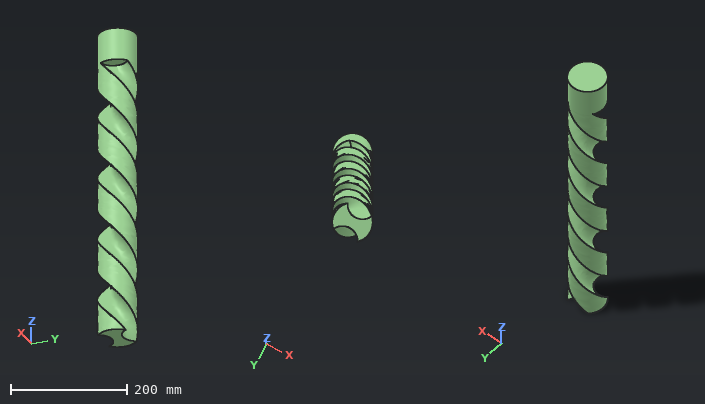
import cadquery as cq
import math

total_length = 578.5
diameter = 70.0
shank_length = 60.0
flute_half_angle = 42.6
web_thickness = 21.0
twist_angle = -800.0

radius = diameter / 2
fluted_length = total_length - shank_length
lip_x = radius * math.sin(math.radians(flute_half_angle))
lip_y = radius * math.cos(math.radians(flute_half_angle))
web_y = web_thickness / 2


def fluted_section():
    """Round section with a concave flute on the +Y and -Y sides."""
    return (
        cq.Workplane("XY")
        .moveTo(lip_x, -lip_y)
        .threePointArc((radius, 0), (lip_x, lip_y))
        .threePointArc((0, web_y), (-lip_x, lip_y))
        .threePointArc((-radius, 0), (-lip_x, -lip_y))
        .threePointArc((0, -web_y), (lip_x, -lip_y))
        .close()
    )


fluted_body = fluted_section().twistExtrude(fluted_length, twist_angle)
shank = cq.Workplane("XY").workplane(offset=fluted_length).circle(radius).extrude(shank_length)

result = fluted_body.union(shank)